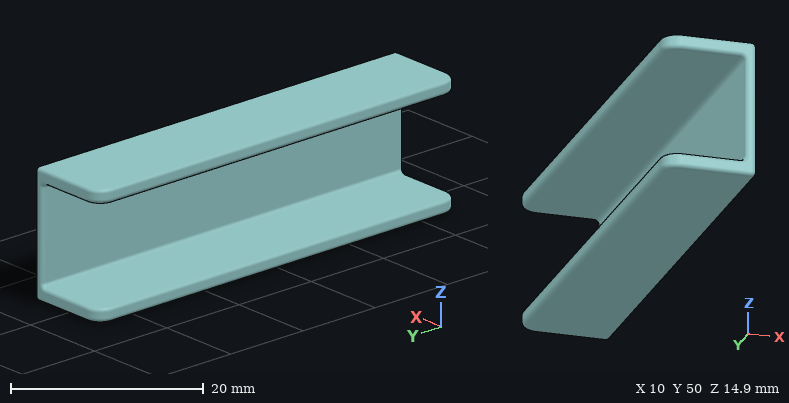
import cadquery as cq

depth = 10.0
length = 50.0
height = 14.9

flange_thickness = 1.7
web_thickness = 1.2

flange_corner_radius = 2.0
inner_corner_radius = 0.5
edge_radius = 0.5

cavity_depth = depth - web_thickness
cavity_height = height - 2 * flange_thickness


def make_channel():
    """Square-edged channel, centred on the origin, with its web at +X."""
    block = cq.Workplane("XY").box(depth, length, height)
    cavity = (
        cq.Workplane("XY")
        .box(cavity_depth, length, cavity_height)
        .translate((-web_thickness / 2, 0, 0))
    )
    return block.cut(cavity)


def round_flange_corners(channel):
    """Round the free corners of both flanges, seen along Z."""
    return channel.faces("<X").edges("|Z").fillet(flange_corner_radius)


def round_inner_corners(channel):
    """Blend the web into the flanges along the inside of the channel."""
    web_inner_center = (depth / 2 - web_thickness, 0, 0)
    web_inner_face = channel.faces(cq.selectors.NearestToPointSelector(web_inner_center))
    return web_inner_face.edges("|Y").fillet(inner_corner_radius)


def is_vertical(edge):
    """Tell whether a straight edge runs along Z."""
    return edge.geomType() == "LINE" and edge.BoundingBox().zlen > edge.BoundingBox().xlen


def round_outer_edges(channel):
    """Round every sharp edge: the end outlines, flange rims and back corners."""
    end_outlines = channel.faces("<Y or >Y").edges()
    sharp_ends = end_outlines.filter(
        lambda edge: edge.Center().x > 0 or not is_vertical(edge)
    )
    back_corners = channel.faces(">X").edges("|Y")
    return sharp_ends.add(back_corners).fillet(edge_radius)


channel = make_channel()
channel = round_flange_corners(channel)
channel = round_inner_corners(channel)
result = round_outer_edges(channel)